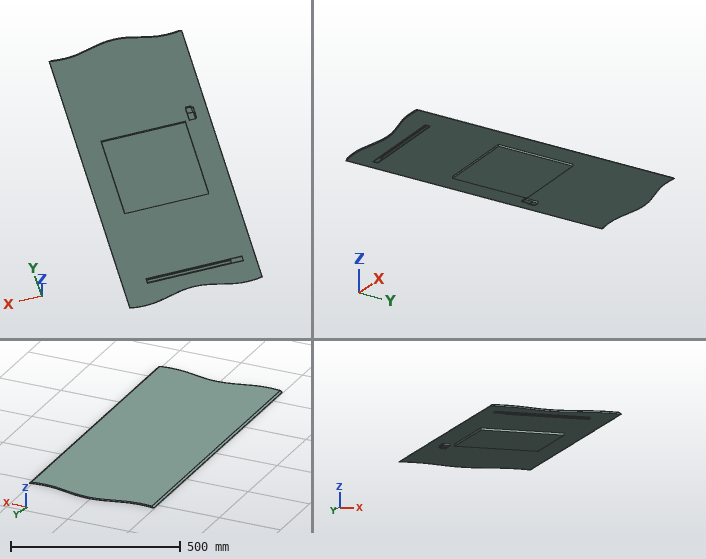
import cadquery as cq

panel_width = 406.0
panel_length = 914.0
panel_thickness = 5.0
bevel_width = 6.0
wave_height = 26.0
trough_offset = 155.0
wave_handle = 58.5
lip_rise = 4.1

housing_side = 258.0
housing_depth = 6.3

rail_y = -375.0
rail_left = -165.0
rail_right = housing_side / 2
rail_base_width = 16.0
rail_base_depth = 2.0
rail_tip_width = 10.0
rail_tip_left = -housing_side / 2
rail_tip_depth = 5.0

connector_left = -165.0
connector_right = -142.0
connector_front = 132.0
connector_back = 170.0
connector_depth = 5.0
neck_left = -161.0
neck_back = 154.5
neck_base_depth = 2.0
plug_left = -159.0
plug_front = 156.0
plug_back = 176.0


def add_wavy_end(sketch, crest_y, direction):
    """Draw an end edge from the current corner, rightwards (+1) or leftwards (-1).

    The curve is level at the crest and troughs, and rises a little towards the long sides.
    """
    trough_y = crest_y - wave_height
    lip_middle = (trough_offset + panel_width / 2) / 2
    curves = (
        ((-lip_middle, trough_y), (-trough_offset, trough_y)),
        ((wave_handle - trough_offset, trough_y), (-wave_handle, crest_y), (0, crest_y)),
        ((wave_handle, crest_y), (trough_offset - wave_handle, trough_y), (trough_offset, trough_y)),
        ((lip_middle, trough_y), (panel_width / 2, trough_y + lip_rise)),
    )
    for points in curves:
        sketch = sketch.bezier([(direction * x, y) for x, y in points], includeCurrent=True)
    return sketch


def hanging_box(x_min, x_max, y_min, y_max, depth):
    """Box hanging down from the underside of the panel."""
    return (
        cq.Workplane("XY")
        .box(x_max - x_min, y_max - y_min, depth, centered=False)
        .translate((x_min, y_min, -depth))
    )


def make_panel():
    half_width = panel_width / 2
    rear_crest = panel_length / 2
    front_crest = wave_height - panel_length / 2
    corner_drop = wave_height - lip_rise
    outline = cq.Workplane("XY").moveTo(-half_width, rear_crest - corner_drop)
    outline = add_wavy_end(outline, rear_crest, 1)
    outline = outline.lineTo(half_width, front_crest - corner_drop)
    outline = add_wavy_end(outline, front_crest, -1)
    slab = outline.close().extrude(panel_thickness)

    bevelled_bar = (
        cq.Workplane("XZ")
        .polyline([
            (-half_width, 0),
            (half_width, 0),
            (half_width - bevel_width, panel_thickness),
            (bevel_width - half_width, panel_thickness),
        ])
        .close()
        .extrude(panel_length, both=True)
    )
    return slab.intersect(bevelled_bar)


def make_housing():
    half_side = housing_side / 2
    return hanging_box(-half_side, half_side, -half_side, half_side, housing_depth)


def make_rail():
    base_half = rail_base_width / 2
    tip_half = rail_tip_width / 2
    base = hanging_box(rail_left, rail_right, rail_y - base_half, rail_y + base_half, rail_base_depth)
    tip = hanging_box(rail_tip_left, rail_right, rail_y - tip_half, rail_y + tip_half, rail_tip_depth)
    return base.union(tip)


def make_connector():
    body = hanging_box(connector_left, connector_right, neck_back, connector_back, connector_depth)
    neck_base = hanging_box(connector_left, connector_right, connector_front, neck_back, neck_base_depth)
    neck = hanging_box(neck_left, connector_right, connector_front, neck_back, connector_depth)
    plug = hanging_box(plug_left, connector_right, plug_front, plug_back, housing_depth)
    return body.union(neck_base).union(neck).union(plug)


result = make_panel().union(make_housing()).union(make_rail()).union(make_connector())